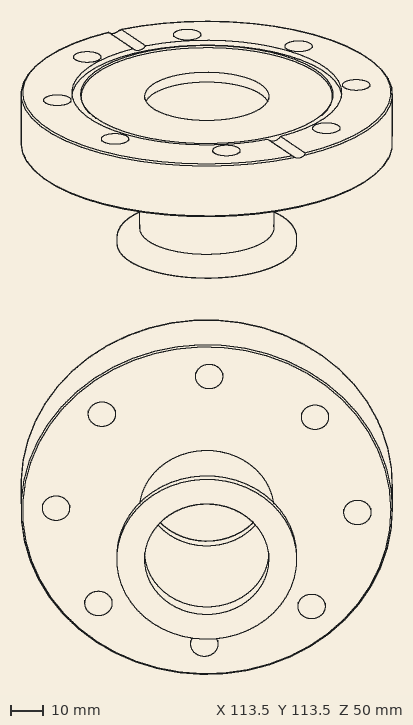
import cadquery as cq
import math

TOTAL_HEIGHT = 50.0
BORE_DIAMETER = 38.0

FLANGE_DIAMETER = 113.5
FLANGE_THICKNESS = 17.5
FLANGE_CHAMFER = 0.5
BOLT_COUNT = 8
BOLT_CIRCLE_DIAMETER = 92.1
BOLT_HOLE_DIAMETER = 8.4
FIRST_BOLT_ANGLE = 180.0 / BOLT_COUNT

RECESS_DIAMETER = 82.5
KNIFE_DIAMETER = 77.2
KNIFE_DEPTH = 0.65
KNIFE_SLOPE = 20.0
KNIFE_DRAFT = 20.0
FACE_DEPTH = 1.25

GROOVE_RADIUS = 3.0
GROOVE_DEPTH = 1.0
GROOVE_ANGLES = (0.0, 180.0)

TUBE_DIAMETER = 41.0
SOCKET_DIAMETER = 41.2
SOCKET_DEPTH = 13.0

CLAMP_DIAMETER = 55.0
CLAMP_HEIGHT = 5.0
CLAMP_SLOPE = 15.0
CLAMP_EDGE_RADIUS = 1.5

flange_bottom = TOTAL_HEIGHT - FLANGE_THICKNESS
tube_top = flange_bottom + SOCKET_DEPTH


def vertical_cylinder(diameter, bottom, top):
    return cq.Workplane("XY").workplane(offset=bottom).circle(diameter / 2).extrude(top - bottom)


def revolve_about_z(profile):
    """Revolve a closed (radius, Z) profile a full turn about the Z axis."""
    return profile.close().revolve(360, (0, 0, 0), (0, 1, 0))


def make_gasket_recess():
    """Cutter for the recess: flat inner face, leaning knife edge, and a cone falling outward to the wall."""
    recess_radius = RECESS_DIAMETER / 2
    knife_radius = KNIFE_DIAMETER / 2
    knife_z = TOTAL_HEIGHT - KNIFE_DEPTH
    face_z = TOTAL_HEIGHT - FACE_DEPTH
    face_radius = knife_radius - (knife_z - face_z) * math.tan(math.radians(KNIFE_DRAFT))
    cone_drop = (recess_radius - knife_radius) * math.tan(math.radians(KNIFE_SLOPE))
    return revolve_about_z(
        cq.Workplane("XZ")
        .moveTo(0, TOTAL_HEIGHT)
        .lineTo(0, face_z)
        .lineTo(face_radius, face_z)
        .lineTo(knife_radius, knife_z)
        .lineTo(recess_radius, knife_z - cone_drop)
        .lineTo(recess_radius, TOTAL_HEIGHT)
    )


def make_leak_groove(angle):
    """Round-bottomed radial groove cutter that stays outside the recess wall."""
    axis_z = TOTAL_HEIGHT - GROOVE_DEPTH + GROOVE_RADIUS
    cutter = (
        cq.Workplane("YZ")
        .center(0, axis_z)
        .circle(GROOVE_RADIUS)
        .extrude(FLANGE_DIAMETER / 2)
    )
    recess_core = vertical_cylinder(RECESS_DIAMETER, flange_bottom, axis_z + GROOVE_RADIUS)
    return cutter.cut(recess_core).rotate((0, 0, 0), (0, 0, 1), angle)


def make_bolt_holes():
    return (
        cq.Workplane("XY")
        .workplane(offset=flange_bottom)
        .polarArray(BOLT_CIRCLE_DIAMETER / 2, FIRST_BOLT_ANGLE, 360, BOLT_COUNT)
        .circle(BOLT_HOLE_DIAMETER / 2)
        .extrude(FLANGE_THICKNESS)
    )


def make_flange():
    disc = vertical_cylinder(FLANGE_DIAMETER, flange_bottom, TOTAL_HEIGHT)
    disc = disc.faces("<Z or >Z").edges().chamfer(FLANGE_CHAMFER)
    disc = disc.cut(make_gasket_recess())
    disc = disc.cut(make_bolt_holes())
    disc = disc.cut(vertical_cylinder(BORE_DIAMETER, flange_bottom, TOTAL_HEIGHT))
    disc = disc.cut(vertical_cylinder(SOCKET_DIAMETER, flange_bottom, tube_top))
    for angle in GROOVE_ANGLES:
        disc = disc.cut(make_leak_groove(angle))
    return disc


def make_tube():
    """Plain tube from the clamp flange up to the shoulder of the flange socket."""
    outside = vertical_cylinder(TUBE_DIAMETER, CLAMP_HEIGHT, tube_top)
    return outside.cut(vertical_cylinder(BORE_DIAMETER, CLAMP_HEIGHT, tube_top))


def make_clamp_flange():
    """Ring with a conical back that rises from a rounded rim to the tube's outside."""
    bore_radius = BORE_DIAMETER / 2
    tube_radius = TUBE_DIAMETER / 2
    rim_radius = CLAMP_DIAMETER / 2
    slope = math.radians(CLAMP_SLOPE)
    corner_z = CLAMP_HEIGHT - (rim_radius - tube_radius) * math.tan(slope)

    tangent_length = CLAMP_EDGE_RADIUS * math.tan((math.pi / 2 - slope) / 2)
    arc_center = (rim_radius - CLAMP_EDGE_RADIUS, corner_z - tangent_length)
    arc_end_angle = math.pi / 2 - slope

    def point_on_arc(angle):
        return (
            arc_center[0] + CLAMP_EDGE_RADIUS * math.cos(angle),
            arc_center[1] + CLAMP_EDGE_RADIUS * math.sin(angle),
        )

    return revolve_about_z(
        cq.Workplane("XZ")
        .moveTo(bore_radius, 0)
        .lineTo(rim_radius, 0)
        .lineTo(*point_on_arc(0))
        .threePointArc(point_on_arc(arc_end_angle / 2), point_on_arc(arc_end_angle))
        .lineTo(tube_radius, CLAMP_HEIGHT)
        .lineTo(bore_radius, CLAMP_HEIGHT)
    )


flange = make_flange()
tube = make_tube()
clamp_flange = make_clamp_flange()

result = cq.Compound.makeCompound([body.solids().val() for body in (flange, tube, clamp_flange)])